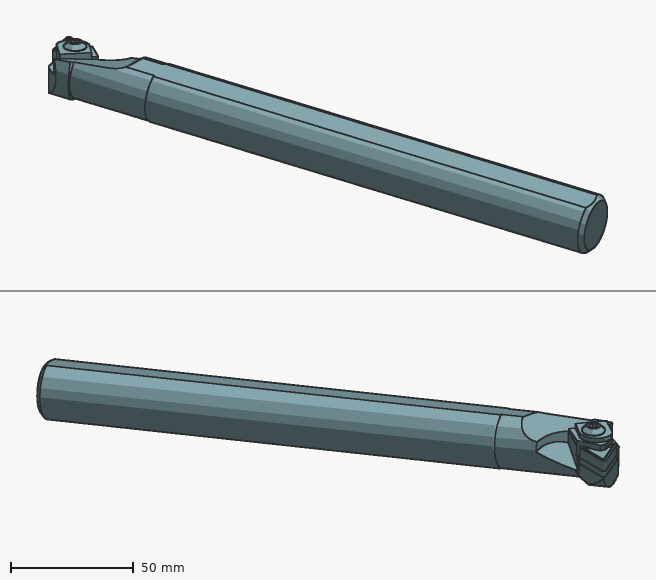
import cadquery as cq
import math

LENGTH = 250.0
SHANK_RADIUS = 12.5
FLAT_HEIGHT = 11.5
END_CHAMFER = 2.0
SHANK_START = 50.0
SHOULDER_LENGTH = 0.8
NECK_RADIUS = 12.2
NECK_START = 15.5
HEAD_RADIUS = 14.5
HEAD_CENTRE_Y = HEAD_RADIUS - SHANK_RADIUS
HEAD_END = 12.0
CLEAR = 50.0

SEAT_HEIGHT = 3.8
SEAT_RISE_X = 0.1
SEAT_RISE_Y = -0.2
seat = cq.Plane(
    origin=(0, 0, SEAT_HEIGHT),
    xDir=(1, 0, SEAT_RISE_X),
    normal=(-SEAT_RISE_X, -SEAT_RISE_Y, 1),
)

INSERT_SIDE = 16.5
CORNER_HALF_ANGLE = 30.0
INSERT_THICKNESS = 4.8
NOSE_RADIUS = 0.8
EDGE_LEAN = 2.5
NOSE_X = 0.42
NOSE_Y = 16.6
LAND_WIDTH = 1.0
GROOVE_DEPTH = 0.5
GROOVE_TAPER = 45.0

SHIM_THICKNESS = 2.8

CLAMP_FRONT_CORNER = (3.0, 2.0)
CLAMP_BEND = (3.2, 0.2)
CLAMP_NEAR_CORNER = (9.0, -8.0)
CLAMP_BACK_CORNER = (22.0, 1.2)
CLAMP_SIDE_CORNER = (15.2, 9.0)
CLAMP_NOSE = [(5.0, 9.0), (3.5, 7.2)]
CLAMP_TOP = 4.0
LIP_TOP = 2.0
RAISED_REAR = [(19.8, -0.5), (15.2, 6.2)]
RAISED_ARC_POINT = (9.8, 8.0)
SCREW_X = 11.0
SCREW_Y = 1.8
SCREW_RADIUS = 4.8
SCREW_TOP = 6.2
SCREW_CHAMFER = 2.0
SOCKET_ACROSS_CORNERS = 3.8
SOCKET_DEPTH = 2.5

FACE_X = 1.5
CORNER_START = -4.0
CORNER_ANGLE = 45.0
CORNER_FILLET = 4.0

FLUTE_HEIGHT = 4.5
FLUTE_RISE_X = 0.11
FLUTE_RISE_Y = -0.37
FLUTE_FLOOR_END = 27.5
FLUTE_SWEEP = [(38.0, 1.5), (41.5, 4.2), (45.0, 10.0)]
FLUTE_EXIT_DIRECTION = (1, 2)

POCKET_CORNER = (15.0, 10.0, -7.0)
POCKET_RISE_X = 0.47
POCKET_RISE_Y = -0.6
POCKET_END = (32.0, 12.8)
POCKET_WALL_MIDDLE = (29.0, 6.2)
POCKET_FRONT_Y = 16.5

RELIEF_FRONT_Y = 16.5
RELIEF_END = (14.0, 9.2)


def triangle(inset):
    """Sharp corners of the triangular insert outline on the seat plane, shrunk by an inset."""
    bisector = math.radians(EDGE_LEAN + CORNER_HALF_ANGLE - 90)
    half_sine = math.sin(math.radians(CORNER_HALF_ANGLE))
    reach = INSERT_SIDE / math.sqrt(3)
    from_nose = reach - NOSE_RADIUS / half_sine
    centre_x = NOSE_X + from_nose * math.cos(bisector)
    centre_y = NOSE_Y + from_nose * math.sin(bisector)
    corner_reach = reach - inset / half_sine
    directions = [bisector + math.pi + corner * math.tau / 3 for corner in range(3)]
    return [
        (centre_x + corner_reach * math.cos(a), centre_y + corner_reach * math.sin(a)) for a in directions
    ]


def triangular_plate(top, thickness):
    """Plate with the insert's outline, hanging below the given height over the seat plane."""
    plate = (
        cq.Workplane(seat).workplane(offset=top - thickness)
        .polyline(triangle(0)).close().extrude(thickness)
    )
    return plate.edges(cq.selectors.ParallelDirSelector(seat.zDir)).fillet(NOSE_RADIUS)


def make_insert():
    """Triangular insert with a shallow chip groove inside its edge land."""
    body = triangular_plate(0, INSERT_THICKNESS)
    groove = (
        cq.Workplane(seat).polyline(triangle(LAND_WIDTH)).close()
        .extrude(-GROOVE_DEPTH, taper=GROOVE_TAPER)
    )
    return body.cut(groove)


def round_bar():
    """Round bar: flatted shank, slimmer neck and a wider, offset head."""
    profile = [
        (NECK_START, 0),
        (NECK_START, NECK_RADIUS),
        (SHANK_START, NECK_RADIUS),
        (SHANK_START + SHOULDER_LENGTH, SHANK_RADIUS),
        (LENGTH - END_CHAMFER, SHANK_RADIUS),
        (LENGTH, SHANK_RADIUS - END_CHAMFER),
        (LENGTH, 0),
    ]
    shaft = cq.Workplane("XY").polyline(profile).close().revolve(360, (0, 0, 0), (1, 0, 0))
    bottom_flat = cq.Workplane("XY").box(
        LENGTH, CLEAR, CLEAR, centered=(False, True, False)
    ).translate((SHANK_START, 0, -FLAT_HEIGHT - CLEAR))
    head = cq.Workplane("YZ", origin=(0, HEAD_CENTRE_Y, 0)).circle(HEAD_RADIUS).extrude(NECK_START)
    cone_slope = (HEAD_RADIUS - NECK_RADIUS) / (NECK_START - HEAD_END)
    cone = [(0, 0), (0, NECK_RADIUS + cone_slope * NECK_START), (NECK_START, NECK_RADIUS), (NECK_START, 0)]
    head_back = cq.Workplane("XY").polyline(cone).close().revolve(360, (0, 0, 0), (1, 0, 0))
    top_flat = cq.Workplane("XY").box(
        LENGTH, CLEAR, CLEAR, centered=(False, True, False)
    ).translate((0, 0, FLAT_HEIGHT))
    return shaft.cut(bottom_flat).union(head.intersect(head_back)).cut(top_flat)


def front_face_keep():
    """Prism square to the seat that trims the head to its front face and bevelled corner."""
    angle = math.radians(CORNER_ANGLE)
    bevel_end_x = FACE_X + CLEAR / math.tan(angle)
    lean = math.tan(math.radians(EDGE_LEAN))
    outline = [
        (FACE_X, CORNER_START),
        (bevel_end_x, CORNER_START - CLEAR),
        (2 * LENGTH, CORNER_START - CLEAR),
        (2 * LENGTH, CLEAR),
        (FACE_X - lean * (CLEAR - CORNER_START), CLEAR),
    ]
    prism = cq.Workplane(seat).workplane(offset=-CLEAR).polyline(outline).close().extrude(2 * CLEAR)
    corner = seat.toWorldCoords((FACE_X, CORNER_START, 0))
    return prism.edges(cq.selectors.NearestToPointSelector(corner.toTuple())).fillet(CORNER_FILLET)


def flute():
    """Cutter whose floor slopes along the bar and sweeps up in a curve at its far end."""
    floor = cq.Plane(
        origin=(0, CLEAR, FLUTE_HEIGHT + FLUTE_RISE_Y * CLEAR),
        xDir=(1, 0, FLUTE_RISE_X),
        normal=(0, -1, -FLUTE_RISE_Y),
    )
    end_x = FLUTE_SWEEP[-1][0]
    return (
        cq.Workplane(floor).moveTo(-CLEAR, CLEAR).lineTo(-CLEAR, 0).lineTo(FLUTE_FLOOR_END, 0)
        .spline(FLUTE_SWEEP, tangents=[(1, 0), FLUTE_EXIT_DIRECTION], includeCurrent=True)
        .lineTo(end_x, CLEAR).close()
        .extrude(3 * CLEAR)
    )


def seat_space():
    """Everything above the insert's underside, in front of the wall that backs the clamp."""
    near_x, near_y = CLAMP_NEAR_CORNER
    back_x, back_y = CLAMP_BACK_CORNER
    wall_end = (2 * near_x - back_x, 2 * near_y - back_y)
    outline = [
        wall_end,
        CLAMP_BACK_CORNER,
        CLAMP_SIDE_CORNER,
        (CLAMP_SIDE_CORNER[0], CLEAR),
        (-CLEAR, CLEAR),
        (-CLEAR, wall_end[1]),
    ]
    return (
        cq.Workplane(seat).workplane(offset=-INSERT_THICKNESS)
        .polyline(outline).close().extrude(CLEAR)
    )


def side_pocket():
    """Pocket behind the insert: upright walls over a floor that falls towards the insert."""
    floor = cq.Plane(
        origin=POCKET_CORNER,
        xDir=(1, 0, POCKET_RISE_X),
        normal=(-POCKET_RISE_X, -POCKET_RISE_Y, 1),
    )
    above_floor = cq.Workplane(floor).rect(3 * CLEAR, 3 * CLEAR).extrude(CLEAR)
    walls = (
        cq.Workplane("XY").workplane(offset=-CLEAR).moveTo(*CLAMP_BACK_CORNER)
        .threePointArc(POCKET_WALL_MIDDLE, POCKET_END)
        .lineTo(POCKET_END[0], CLEAR).lineTo(0, CLEAR).lineTo(0, POCKET_FRONT_Y)
        .lineTo(*CLAMP_SIDE_CORNER).close().extrude(2 * CLEAR)
    )
    return walls.intersect(above_floor)


def flank_relief():
    """Cutter that trims the head along the insert's back edge, square to the seat."""
    outline = [(-CLEAR, CLEAR), (0, RELIEF_FRONT_Y), RELIEF_END, (RELIEF_END[0], CLEAR)]
    return cq.Workplane(seat).workplane(offset=-CLEAR).polyline(outline).close().extrude(2 * CLEAR)


def clamp():
    """Clamp block whose raised top is rounded around the screw, over a lower nose and rear lip."""
    front_edge = [CLAMP_FRONT_CORNER, CLAMP_BEND, CLAMP_NEAR_CORNER]
    outline = [*front_edge, CLAMP_BACK_CORNER, CLAMP_SIDE_CORNER, *CLAMP_NOSE]
    block = (
        cq.Workplane(seat).workplane(offset=-INSERT_THICKNESS)
        .polyline(outline).close().extrude(INSERT_THICKNESS + LIP_TOP)
    )
    raised = (
        cq.Workplane(seat).polyline([*front_edge, *RAISED_REAR])
        .threePointArc(RAISED_ARC_POINT, CLAMP_FRONT_CORNER).close().extrude(CLAMP_TOP)
    )
    return block.union(raised)


def clamp_screw():
    """Bevelled screw head with a hexagon socket, standing on the clamp."""
    head = (
        cq.Workplane(seat).center(SCREW_X, SCREW_Y).circle(SCREW_RADIUS).extrude(SCREW_TOP)
        .faces(cq.selectors.DirectionMinMaxSelector(seat.zDir)).chamfer(SCREW_CHAMFER)
    )
    socket = (
        cq.Workplane(seat).workplane(offset=SCREW_TOP).center(SCREW_X, SCREW_Y)
        .polygon(6, SOCKET_ACROSS_CORNERS).extrude(-SOCKET_DEPTH)
    )
    return head.cut(socket)


def make_holder(insert):
    """Bar with its cut-outs, carrying the shim, clamp and screw, recessed for the insert."""
    body = round_bar().intersect(front_face_keep())
    body = body.cut(flute()).cut(seat_space()).cut(side_pocket()).cut(flank_relief())
    shim = triangular_plate(-INSERT_THICKNESS, SHIM_THICKNESS)
    return body.union(shim).union(clamp()).union(clamp_screw()).cut(insert)


insert = make_insert()
holder = make_holder(insert)

result = cq.Compound.makeCompound([holder.solids().val(), insert.solids().val()])